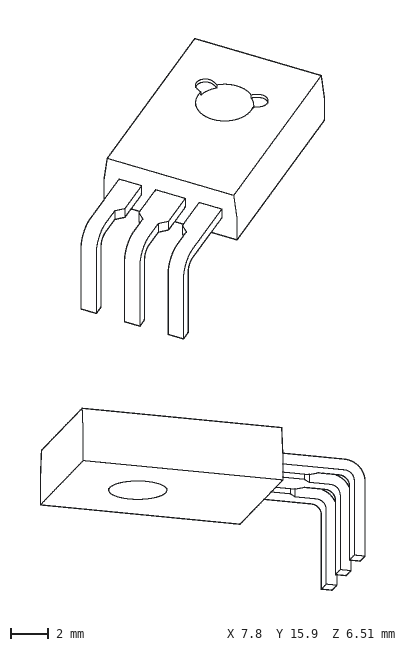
import cadquery as cq
import math

housing_width = 7.8
housing_length = 11.1
housing_height = 3.0
side_inset = 0.19
draft_start_height = 1.47

hole_diameter = 3.1
hole_from_back = 4.23
hole_y = housing_length - hole_from_back
notch_radius = 0.53
notch_reach = 1.79
notch_depth = 0.2
notch_angles = (30, 150)

lead_pitch = 2.55
lead_thickness = 0.6
lead_top = housing_height - 1.18
overall_length = 15.95
lead_reach = overall_length - housing_length
lead_drop = 3.51
bend_outer_radius = 1.15
bend_inner_radius = bend_outer_radius - lead_thickness
narrow_width = 0.91
shoulder_width = 0.41
wide_length = 2.12
taper_end = wide_length + 0.4


def make_notch(angle):
    """Round-ended slot running from the hole centre at the given angle."""
    slot = cq.Workplane("XY").rect(notch_reach, 2 * notch_radius).extrude(notch_depth)
    slot = slot.translate((notch_reach / 2, 0, 0))
    round_end = cq.Workplane("XY").center(notch_reach, 0).circle(notch_radius).extrude(notch_depth)
    notch = slot.union(round_end).rotate((0, 0, 0), (0, 0, 1), angle)
    return notch.translate((0, hole_y, housing_height - notch_depth))


def make_housing():
    """Block with straight lower sides, drafted upper sides and a mounting hole."""
    half_width = housing_width / 2
    half_top = half_width - side_inset
    body = (
        cq.Workplane("XZ")
        .moveTo(-half_width, 0)
        .lineTo(half_width, 0)
        .lineTo(half_width, draft_start_height)
        .lineTo(half_top, housing_height)
        .lineTo(-half_top, housing_height)
        .lineTo(-half_width, draft_start_height)
        .close()
        .extrude(-housing_length)
    )
    hole = cq.Workplane("XY").center(0, hole_y).circle(hole_diameter / 2).extrude(housing_height)
    body = body.cut(hole)
    for angle in notch_angles:
        body = body.cut(make_notch(angle))
    return body


def make_lead(x, left_shoulder, right_shoulder):
    """Bent strip centred on x, widened near the housing by its shoulders."""
    lead_bottom = lead_top - lead_thickness
    bend_y = bend_outer_radius - lead_reach
    bend_z = lead_top - bend_outer_radius
    diagonal = math.sqrt(0.5)
    strip_width = narrow_width + 2 * shoulder_width
    strip = (
        cq.Workplane("YZ")
        .moveTo(0, lead_top)
        .lineTo(bend_y, lead_top)
        .threePointArc(
            (bend_y - bend_outer_radius * diagonal, bend_z + bend_outer_radius * diagonal),
            (-lead_reach, bend_z),
        )
        .lineTo(-lead_reach, -lead_drop)
        .lineTo(lead_thickness - lead_reach, -lead_drop)
        .lineTo(lead_thickness - lead_reach, bend_z)
        .threePointArc(
            (bend_y - bend_inner_radius * diagonal, bend_z + bend_inner_radius * diagonal),
            (bend_y, lead_bottom),
        )
        .lineTo(0, lead_bottom)
        .close()
        .extrude(strip_width / 2, both=True)
    )
    half_narrow = narrow_width / 2
    plan = cq.Workplane("XY").workplane(offset=-lead_drop).rect(narrow_width, 2 * lead_reach)
    plan = plan.extrude(lead_drop + lead_top)
    for side, shoulder in ((-1, left_shoulder), (1, right_shoulder)):
        if shoulder > 0:
            flare = (
                cq.Workplane("XY")
                .polyline([
                    (0, 0),
                    (side * (half_narrow + shoulder), 0),
                    (side * (half_narrow + shoulder), -wide_length),
                    (side * half_narrow, -taper_end),
                    (0, -taper_end),
                ])
                .close()
                .extrude(lead_top)
            )
            plan = plan.union(flare)
    return strip.intersect(plan).translate((x, 0, 0))


housing = make_housing()

leads = []
for position in (-1, 0, 1):
    left_shoulder = shoulder_width if position >= 0 else 0
    right_shoulder = shoulder_width if position <= 0 else 0
    leads.append(make_lead(position * lead_pitch, left_shoulder, right_shoulder))

result = cq.Compound.makeCompound([housing.solids().val(), *[lead.solids().val() for lead in leads]])